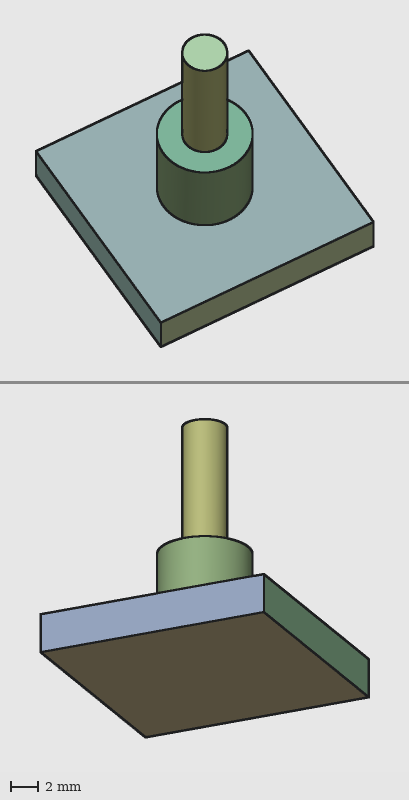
import cadquery as cq

total_height = 19.5
plate_side = 18.0
plate_thickness = 3.0

collar_diameter = 7.0
collar_height = 6.5

pin_diameter = 3.3
collar_top = plate_thickness + collar_height
pin_height = total_height - collar_top


def make_plate():
    """Square base plate with its underside at Z = 0."""
    return cq.Workplane("XY").rect(plate_side, plate_side).extrude(plate_thickness)


def make_cylinder(diameter, height, base_z):
    """Upright cylinder on the Z axis, starting at base_z."""
    return cq.Workplane("XY").workplane(offset=base_z).circle(diameter / 2).extrude(height)


plate = make_plate()
collar = make_cylinder(collar_diameter, collar_height, plate_thickness)
pin = make_cylinder(pin_diameter, pin_height, collar_top)

result = cq.Compound.makeCompound([plate.val(), collar.val(), pin.val()])